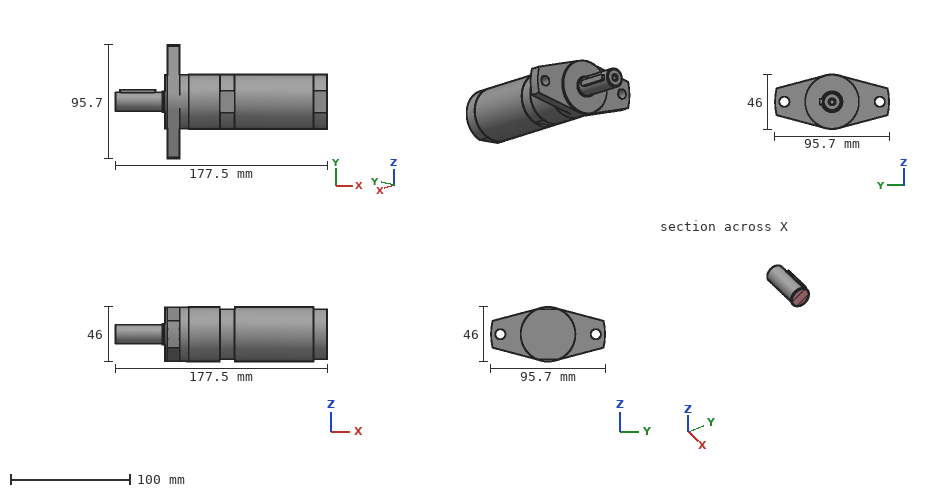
import cadquery as cq
import math


body_diameter = 46.0
body_start = 61.6
body_end = 177.5
flats_distance = 42.0
front_flats_start = 87.7
front_flats_end = 100.3
rear_flats_start = 166.3
groove_width = 0.5
groove_depth = 0.2

pilot_diameter = 45.0
pilot_start = 41.7

hub_diameter = 45.6

flange_start = 43.8
flange_end = 54.1
flange_span = 95.7
flange_end_height = 22.5
mount_hole_diameter = 8.3
mount_hole_offset = 40.0

shaft_diameter = 16
shaft_tip_diameter = 13.7
shaft_chamfer_length = 0.7
collar_diameter = 16.9
lip_diameter = 17.5
lip_start = 39.5
lip_end = 40.6
lip_mouth_diameter = 16.9
lip_mouth_depth = 0.5

center_hole_diameter = 4.0
center_hole_depth = 7.1
countersink_diameter = 6.0
countersink_depth = 0.7
drill_tip_angle = 118

key_start = 4.0
key_end = 34.0
key_width = 5.0
key_top = 10.1
key_bottom = 5.0


def cylinder(start, end, diameter):
    """Solid cylinder on the X axis between two X positions."""
    return cq.Workplane("YZ").workplane(offset=start).circle(diameter / 2).extrude(end - start)


def make_body():
    """Body with two pairs of wrench flats and shallow grooves beside them."""
    body = cylinder(body_start, body_end, body_diameter)
    cutter_offset = (flats_distance + body_diameter) / 2
    for start, end in ((front_flats_start, front_flats_end), (rear_flats_start, body_end)):
        cutter = cq.Workplane("XY").box(end - start, body_diameter, body_diameter)
        for side in (1, -1):
            body = body.cut(cutter.translate(((start + end) / 2, 0, side * cutter_offset)))
    groove_starts = (
        front_flats_start,
        front_flats_end - groove_width,
        rear_flats_start - groove_width,
    )
    for start in groove_starts:
        ring = cylinder(start, start + groove_width, body_diameter)
        core = cylinder(start, start + groove_width, body_diameter - 2 * groove_depth)
        body = body.cut(ring.cut(core))
    return body


def make_flange():
    """Plate with tips on +Y and -Y, its sloping edges tangent to the hub."""
    tip_radius = flange_span / 2
    hub_radius = hub_diameter / 2
    corner_z = flange_end_height / 2
    corner_y = math.sqrt(tip_radius**2 - corner_z**2)
    tangent_angle = math.atan2(corner_z, corner_y) + math.acos(hub_radius / tip_radius)
    tangent_y = hub_radius * math.cos(tangent_angle)
    tangent_z = hub_radius * math.sin(tangent_angle)
    plate = (
        cq.Workplane("YZ")
        .workplane(offset=flange_start)
        .moveTo(corner_y, -corner_z)
        .threePointArc((tip_radius, 0), (corner_y, corner_z))
        .lineTo(tangent_y, tangent_z)
        .threePointArc((0, hub_radius), (-tangent_y, tangent_z))
        .lineTo(-corner_y, corner_z)
        .threePointArc((-tip_radius, 0), (-corner_y, -corner_z))
        .lineTo(-tangent_y, -tangent_z)
        .threePointArc((0, -hub_radius), (tangent_y, -tangent_z))
        .close()
        .extrude(flange_end - flange_start)
    )
    for side in (1, -1):
        hole = cylinder(flange_start, flange_end, mount_hole_diameter)
        plate = plate.cut(hole.translate((0, side * mount_hole_offset, 0)))
    return plate


def make_shaft():
    """Chamfered shaft and its lipped collar, revolved about X."""
    return (
        cq.Workplane("XY")
        .moveTo(0, 0)
        .lineTo(0, shaft_tip_diameter / 2)
        .lineTo(shaft_chamfer_length, shaft_diameter / 2)
        .lineTo(lip_start + lip_mouth_depth, shaft_diameter / 2)
        .lineTo(lip_start, lip_mouth_diameter / 2)
        .lineTo(lip_start, lip_diameter / 2)
        .lineTo(lip_end, lip_diameter / 2)
        .lineTo(lip_end, collar_diameter / 2)
        .lineTo(pilot_start, collar_diameter / 2)
        .lineTo(pilot_start, 0)
        .close()
        .revolve(360, (0, 0, 0), (1, 0, 0))
    )


def make_key():
    """Key with full-round ends, standing out of the shaft along +Y."""
    return (
        cq.Workplane("XZ", origin=((key_start + key_end) / 2, key_top, 0))
        .slot2D(key_end - key_start, key_width)
        .extrude(key_top - key_bottom)
    )


def make_center_hole():
    """Drilled hole with a conical tip and a countersunk mouth, revolved about X."""
    hole_radius = center_hole_diameter / 2
    tip_length = hole_radius / math.tan(math.radians(drill_tip_angle / 2))
    return (
        cq.Workplane("XY")
        .moveTo(0, 0)
        .lineTo(0, countersink_diameter / 2)
        .lineTo(countersink_depth, hole_radius)
        .lineTo(center_hole_depth, hole_radius)
        .lineTo(center_hole_depth + tip_length, 0)
        .close()
        .revolve(360, (0, 0, 0), (1, 0, 0))
    )


pilot = cylinder(pilot_start, flange_start, pilot_diameter)
neck = cylinder(flange_end, body_start, hub_diameter)
result = make_body()
for piece in (neck, make_flange(), pilot, make_shaft(), make_key()):
    result = result.union(piece)
result = result.cut(make_center_hole())